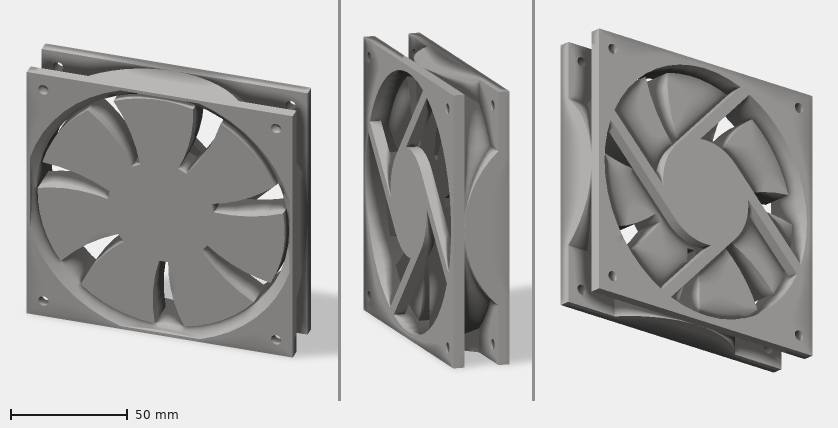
import cadquery as cq

side = 120.0
depth = 25.5
flange_thickness = 5.0
half_side = side / 2

duct_radius = 57.0
inlet_radius = 61.2
inlet_depth = inlet_radius - duct_radius
side_wall = 1.5
inlet_width = side - 2 * side_wall

arch_half_width = 34.0

hole_diameter = 4.5
hole_spacing = 105.0

mount_radius = 24.0
arm_count = 4
first_arm_angle = 45.0
arm_width = 5.0
mount_thickness = flange_thickness

blade_count = 7
rotor_radius = 55.8
rotor_front = 2.0
rotor_depth = 15.0
gap_pitch = 360.0 / blade_count

gap_left_edge = [(-1.0, -24.1), (-3.6, -38.4), (-2.8, -56.4)]
gap_right_edge = [(3.1, -24.1), (4.5, -38.2), (10.9, -55.7)]


def sketch_at(y):
    """XZ workplane at depth y whose extrusions run toward +Y and whose local Y is -Z."""
    return cq.Workplane(cq.Plane(origin=(0, y, 0), xDir=(1, 0, 0), normal=(0, 1, 0)))


def turned(body, angle):
    """The body turned about the fan axis by an angle in degrees."""
    return body.rotate((0, 0, 0), (0, 1, 0), angle)


def disc(radius, y, thickness):
    return sketch_at(y).circle(radius).extrude(thickness)


def flange(y):
    return sketch_at(y).rect(side, side).extrude(flange_thickness)


def arched_wall():
    """Bar along Z, arched in XY, rising from the front flange to touch the back one."""
    arch_top = depth - flange_thickness
    return (
        cq.Workplane("XY", origin=(0, 0, -half_side))
        .moveTo(-arch_half_width, flange_thickness)
        .threePointArc((0, arch_top), (arch_half_width, flange_thickness))
        .close()
        .extrude(side)
    )


def inlet():
    """Conical flare of the duct, kept inside the side walls."""
    front_center = cq.Vector(0, 0, 0)
    fan_axis = cq.Vector(0, 1, 0)
    cone = cq.Solid.makeCone(inlet_radius, duct_radius, inlet_depth, front_center, fan_axis)
    limits = sketch_at(0).rect(inlet_width, inlet_width).extrude(inlet_depth)
    return cq.Workplane(cone).intersect(limits)


def motor_mount():
    """Disc behind the rotor with four arms that leave it along its tangents to the duct wall."""
    mount_y = depth - mount_thickness
    mount = disc(mount_radius, mount_y, mount_thickness)
    arm = cq.Workplane("XY").box(half_side, mount_thickness, arm_width, centered=False)
    arm = arm.translate((0, mount_y, -mount_radius))
    arm = arm.intersect(disc(half_side - side_wall, mount_y, mount_thickness))
    for index in range(arm_count):
        mount = mount.union(turned(arm, first_arm_angle + index * 360 / arm_count))
    return mount


def make_housing():
    """Two square flanges joined by the duct, with the motor mount across its back."""
    body = flange(0).union(flange(depth - flange_thickness))
    body = body.union(disc(half_side, 0, depth))
    wall = arched_wall()
    body = body.union(wall).union(turned(wall, 90))
    body = body.cut(disc(duct_radius, 0, depth)).cut(inlet())
    holes = sketch_at(0).rect(hole_spacing, hole_spacing, forConstruction=True).vertices()
    body = body.cut(holes.circle(hole_diameter / 2).extrude(depth))
    return body.union(motor_mount())


def blade_gap():
    """Curved gap below the axis that separates two neighbouring blades."""
    left_inner, left_middle, left_outer = gap_left_edge
    right_inner, right_middle, right_outer = gap_right_edge
    return (
        cq.Workplane("XZ", origin=(0, rotor_front, 0))
        .moveTo(*left_inner)
        .threePointArc(left_middle, left_outer)
        .lineTo(*right_outer)
        .threePointArc(right_middle, right_inner)
        .close()
        .extrude(-rotor_depth)
    )


def make_rotor():
    """Hub and blades in one flat-faced piece, cut apart by the repeated gap."""
    body = disc(rotor_radius, rotor_front, rotor_depth)
    gap = blade_gap()
    for index in range(blade_count):
        body = body.cut(turned(gap, index * gap_pitch))
    return body


housing = make_housing()
rotor = make_rotor()

result = cq.Compound.makeCompound([housing.val(), rotor.val()])